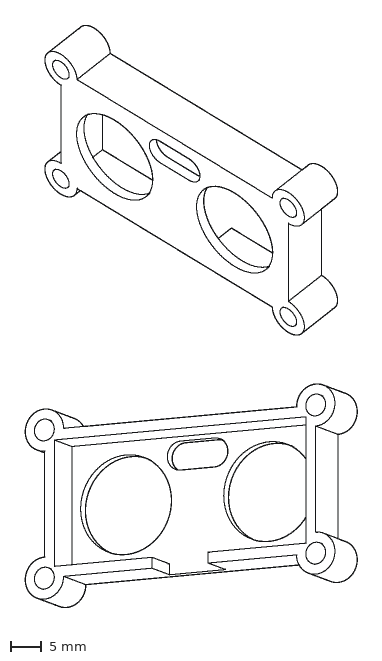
import cadquery as cq

length = 56.35
depth = 8.2
height = 31.55

boss_diameter = 7.0
bore_diameter = 3.6

box_length = length - boss_diameter
box_height = height - boss_diameter
wall = 1.8

window_diameter = 16.5
window_spacing = 26.05
slot_length = 11.0
slot_height = 4.8
slot_center_z = 7.3

notch_width = 10.2

front_y = -depth / 2
cavity_depth = depth - wall
cavity_center_y = wall / 2


def front_plane():
    """Sketch plane on the front face; extrusions run backwards along +Y."""
    return cq.Workplane(cq.Plane(origin=(0, front_y, 0), xDir=(1, 0, 0), normal=(0, -1, 0)))


def at_corners():
    return front_plane().rect(box_length, box_height, forConstruction=True).vertices()


def make_body():
    box = cq.Workplane("XY").box(box_length, depth, box_height)
    bosses = at_corners().circle(boss_diameter / 2).extrude(-depth)
    return box.union(bosses)


def make_cavity():
    """Rectangular pocket, open at the back, leaving the front plate and the walls."""
    cavity = cq.Workplane("XY").box(box_length - 2 * wall, cavity_depth, box_height - 2 * wall)
    return cavity.translate((0, cavity_center_y, 0))


def make_notch():
    """Gap through the bottom wall, from the front plate to the open back."""
    notch = cq.Workplane("XY").box(notch_width, cavity_depth, 2 * wall)
    return notch.translate((0, cavity_center_y, -box_height / 2))


def make_windows():
    window_centers = [(-window_spacing / 2, 0), (window_spacing / 2, 0)]
    return front_plane().pushPoints(window_centers).circle(window_diameter / 2).extrude(-depth)


def make_slot():
    return front_plane().center(0, slot_center_z).slot2D(slot_length, slot_height).extrude(-wall)


def make_bores():
    return at_corners().circle(bore_diameter / 2).extrude(-depth)


result = make_body()
for cutter in (make_cavity(), make_notch(), make_windows(), make_slot(), make_bores()):
    result = result.cut(cutter)